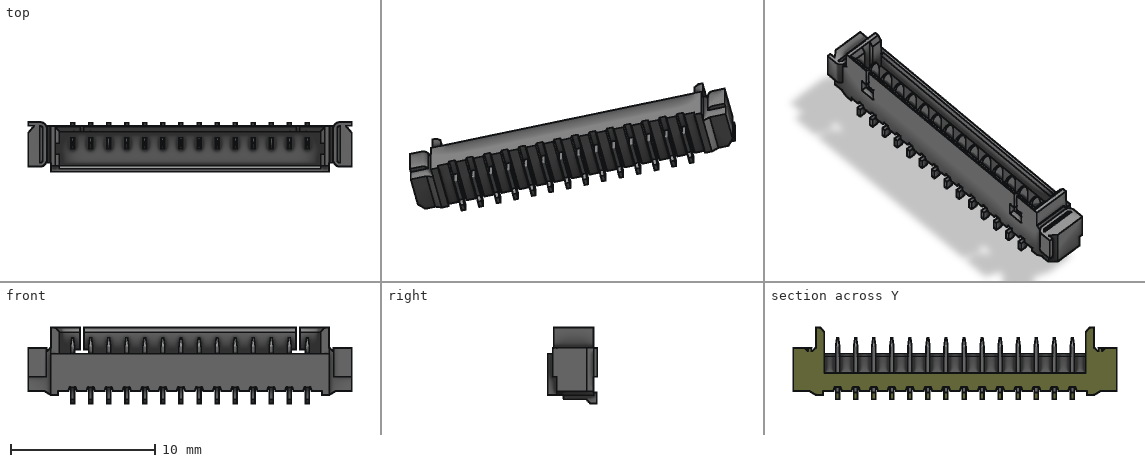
import cadquery as cq
pin_count = 14
pitch = 1.25
row_span = (pin_count - 1) * pitch
pin_positions = [i * pitch - row_span / 2 for i in range(pin_count)]

total_height = 5.28
end_margin = 1.5
half_length = row_span / 2 + end_margin
housing_depth = 3.19
bottom_z = 0.87
foot_z = 0.58
foot_width = 0.5
floor_z = 2.13
front_wall = 0.42
front_wall_top = 3.46
front_bevel = 0.2
side_wall = 0.585
back_wall = 0.4
back_bevel = 0.33
cavity_half = half_length - side_wall
cavity_back = housing_depth - back_wall
groove_depth = 0.29
groove_center_y = 1.6
groove_width = 0.74

notch_top_z = 1.14
notch_top_width = 0.4
notch_bottom_width = 0.58

slot_width = 0.26
slot_inset = 0.655
slot_x = row_span / 2 - slot_inset
slot_window_width = 1.15
slot_window_bottom = 2.7
slot_window_top = 3.74

total_length = 22.43
half_total = total_length / 2
ear_front_y = 0.63
ear_top_z = 3.86
ear_corner_x = 0.42
ear_corner_y = 0.49
ear_root_bevel = 0.22
ear_root_land = 0.04
ear_foot_run = 0.46
clip_back_y = 3.46
clip_thickness = clip_back_y - housing_depth
clip_front_y = ear_front_y - clip_thickness
clip_web_x = 9.92
clip_bend_radius = 0.46
clip_bottom_z = 1.84
ear_clip_bevel = 0.21

pin_thickness = 0.28
pin_front_y = 1.6
pin_depth = 0.78
pin_shoulder_z = 3.94
pin_top_z = 4.56
pin_tip_thickness = 0.11
pin_nose_z = 4.32
pin_nose_depth = 0.64
tail_front_y = 1.1
tail_back_y = 3.41
tail_top_z = 0.78
tail_bottom_z = 0.29
tail_round = 0.1
foot_length = 0.45
foot_slope_run = 0.27


def box(x0, x1, y0, y1, z0, z1):
    """Box between two opposite corners."""
    return cq.Workplane("XY").box(x1 - x0, y1 - y0, z1 - z0, centered=False).translate((x0, y0, z0))


def extrude_y(points, y0, y1):
    """Closed XZ outline extruded from y0 to y1."""
    return cq.Workplane("XZ", origin=(0, y0, 0)).polyline(points).close().extrude(y0 - y1)


def both_ends(shape):
    """Shape together with its mirror image at the other end of the row."""
    return shape.union(shape.mirror("YZ"))


def plan_corners(half_width, back_y):
    """Corners of a cavity cross-section that starts at the front wall."""
    return [(-half_width, front_wall), (half_width, front_wall), (half_width, back_y), (-half_width, back_y)]


def make_cavity():
    """Open cavity whose side and back walls are bevelled at the rim."""
    cavity = box(-cavity_half, cavity_half, front_wall, cavity_back, floor_z, total_height)
    rim = (
        cq.Workplane("XY", origin=(0, 0, total_height - back_bevel))
        .polyline(plan_corners(cavity_half, cavity_back))
        .close()
        .workplane(offset=back_bevel)
        .polyline(plan_corners(cavity_half + groove_depth, cavity_back + back_bevel))
        .close()
        .loft(ruled=True)
    )
    groove = box(
        -cavity_half - groove_depth,
        -cavity_half,
        groove_center_y - groove_width / 2,
        groove_center_y + groove_width / 2,
        floor_z,
        total_height,
    )
    front_edge = (
        cq.Workplane("YZ", origin=(-cavity_half, 0, 0))
        .polyline(
            [
                (front_wall, front_wall_top - front_bevel),
                (front_wall - front_bevel, front_wall_top),
                (front_wall, front_wall_top),
            ]
        )
        .close()
        .extrude(2 * cavity_half)
    )
    return cavity.union(rim).union(front_edge).union(both_ends(groove))


def make_housing():
    """Shroud with a low front wall, two slots in the back wall and feet at both ends."""
    housing = box(-half_length, half_length, 0, housing_depth, bottom_z, total_height)
    housing = housing.union(
        both_ends(box(-half_length, foot_width - half_length, 0, housing_depth, foot_z, bottom_z))
    )
    housing = housing.cut(box(-half_length, half_length, 0, front_wall, front_wall_top, total_height))
    housing = housing.cut(make_cavity())

    def back_opening(width, top):
        """Opening through the back wall at the left keying slot."""
        half = width / 2
        return box(-slot_x - half, -slot_x + half, cavity_back, housing_depth, slot_window_bottom, top)

    slots = back_opening(slot_width, total_height).union(back_opening(slot_window_width, slot_window_top))
    housing = housing.cut(both_ends(slots))
    for x in pin_positions:
        notch = [
            (x - notch_bottom_width / 2, bottom_z),
            (x - notch_top_width / 2, notch_top_z),
            (x + notch_top_width / 2, notch_top_z),
            (x + notch_bottom_width / 2, bottom_z),
        ]
        housing = housing.cut(extrude_y(notch, 0, housing_depth))
    return housing


def make_ear():
    """Block at the left end, bevelled beside the clip and flared at its foot."""
    web_x = -clip_web_x - clip_thickness
    outline = [
        (-half_total, bottom_z),
        (-half_length - ear_foot_run, bottom_z),
        (-half_length, foot_z),
        (-half_length, ear_top_z),
        (-half_length - ear_root_land, ear_top_z),
        (-half_length - ear_root_land - ear_root_bevel, ear_top_z - ear_root_bevel),
        (web_x, ear_top_z - ear_clip_bevel),
        (web_x - ear_clip_bevel, ear_top_z),
        (-half_total, ear_top_z),
    ]
    ear = extrude_y(outline, ear_front_y, housing_depth)
    corner = (
        cq.Workplane("XY")
        .moveTo(-half_total, housing_depth)
        .lineTo(-half_total + ear_corner_x, housing_depth)
        .lineTo(-half_total, housing_depth - ear_corner_y)
        .close()
        .extrude(total_height)
    )
    return ear.cut(corner)


def make_clip():
    """U-shaped sheet-metal solder clip, open toward the left end."""
    web_outer_x = -clip_web_x
    web_inner_x = web_outer_x - clip_thickness
    outer = (
        box(-half_total, web_outer_x, clip_front_y, clip_back_y, clip_bottom_z, ear_top_z)
        .edges("|Z and >X")
        .fillet(clip_bend_radius)
    )
    inner = (
        box(-half_total, web_inner_x, ear_front_y, housing_depth, clip_bottom_z, ear_top_z)
        .edges("|Z and >X")
        .fillet(clip_bend_radius - clip_thickness)
    )
    return outer.cut(inner)


def make_pin():
    """Blade with a tapered, rounded tip and a bent solder tail, centred on X = 0."""
    half = pin_thickness / 2
    center_y = pin_front_y + pin_depth / 2
    blade_back = pin_front_y + pin_depth
    profile = (
        cq.Workplane("YZ", origin=(-half, 0, 0))
        .moveTo(pin_front_y, tail_top_z)
        .lineTo(pin_front_y, pin_shoulder_z)
        .lineTo(center_y - pin_nose_depth / 2, pin_nose_z)
        .threePointArc((center_y, pin_top_z), (center_y + pin_nose_depth / 2, pin_nose_z))
        .lineTo(blade_back, pin_shoulder_z)
        .lineTo(blade_back, tail_top_z)
        .close()
        .extrude(pin_thickness)
    )
    tip_half = pin_tip_thickness / 2
    silhouette = extrude_y(
        [
            (-half, tail_top_z),
            (-half, pin_shoulder_z),
            (-tip_half, pin_top_z),
            (tip_half, pin_top_z),
            (half, pin_shoulder_z),
            (half, tail_top_z),
        ],
        pin_front_y,
        blade_back,
    )
    tail = (
        cq.Workplane("YZ", origin=(-half, 0, 0))
        .moveTo(tail_front_y, notch_top_z)
        .lineTo(tail_front_y, tail_bottom_z + tail_round)
        .radiusArc((tail_front_y + tail_round, tail_bottom_z), -tail_round)
        .lineTo(tail_back_y - foot_length - foot_slope_run, tail_bottom_z)
        .lineTo(tail_back_y - foot_length, 0)
        .lineTo(tail_back_y, 0)
        .lineTo(tail_back_y, tail_top_z)
        .lineTo(blade_back, tail_top_z)
        .lineTo(blade_back, notch_top_z)
        .close()
        .extrude(pin_thickness)
    )
    return profile.intersect(silhouette).union(tail)


result = make_housing().union(both_ends(make_ear().union(make_clip())))
pin = make_pin()
for x in pin_positions:
    result = result.union(pin.translate((x, 0, 0)))